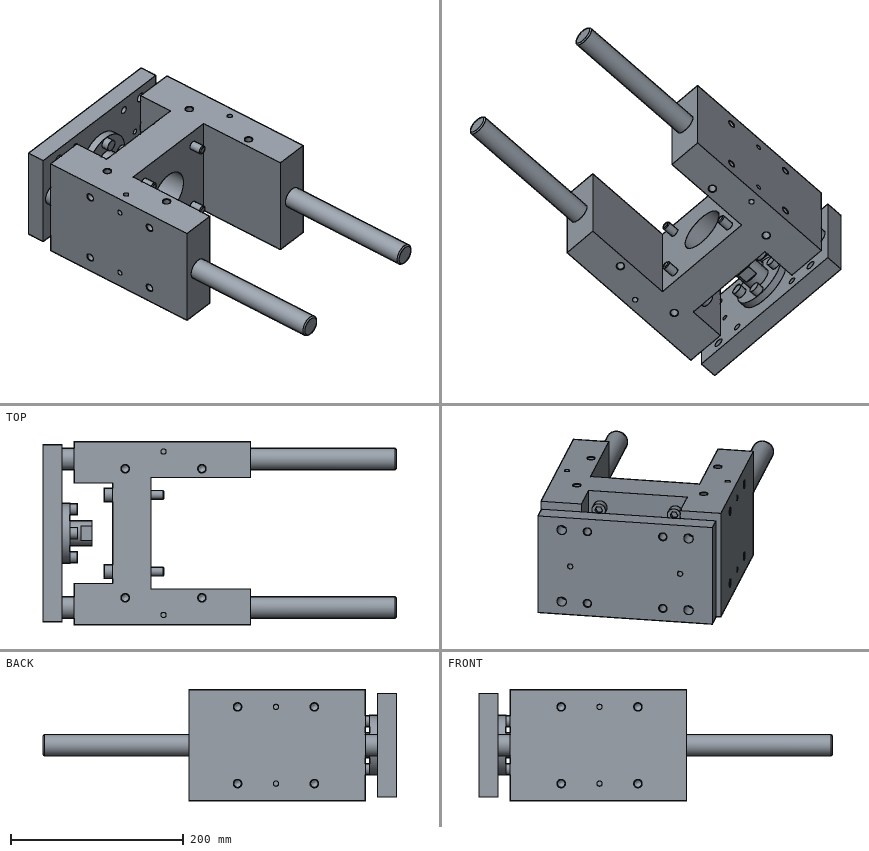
import cadquery as cq
import math

EPS = 0.5

bolt_half = 89.0 / 2
wide_half = 150.0 / 2

plate_thickness = 22.0
plate_width = 206.5
plate_height = 120.5
plate_clear_diameter = 11.0
plate_dowel_half = 65.0

rod_diameter = 25.0
rod_half = 172.5 / 2
rod_end = 411.0
rod_chamfer = 1.5

flange_diameter = 70.0
flange_thickness = 9.0
stub_diameter = 29.0
stub_end = 57.0
flat_start = 44.0
flat_spacing = 24.0
flange_screw_count = 4
flange_screw_radius = 28.0
flange_screw_diameter = 13.0
flange_screw_height = 8.5

housing_start = 36.0
housing_length = 205.0
housing_width = 213.0
housing_height = 129.0
web_start = 81.0
web_thickness = 45.0
front_arm_width = 48.0
rear_arm_width = 42.0
web_bore_diameter = 55.0
hole_centre_x = 140.0
housing_dowel_half = 190.0 / 2

screw_head_diameter = 16.0
screw_head_height = 10.0
screw_shank_diameter = 10.3
screw_length = 60.0
screw_chamfer = 1.2
socket_width = 8.0
socket_depth = 5.0

thread_diameter = 8.5
thread_mouth_diameter = 10.0
thread_depth = 20.0
drill_point_angle = 118.0
dowel_diameter = 6.0
dowel_depth = 10.0

housing_end = housing_start + housing_length
web_end = web_start + web_thickness
mouth_depth = (thread_mouth_diameter - thread_diameter) / 2


def cylinder(diameter, start, direction, length):
    return cq.Workplane(cq.Solid.makeCylinder(diameter / 2, length, cq.Vector(*start), cq.Vector(*direction)))


def x_cylinder(diameter, x_start, x_end, y=0.0, z=0.0):
    return cylinder(diameter, (x_start, y, z), (1, 0, 0), x_end - x_start)


def x_block(x_start, x_end, width, height):
    return cq.Workplane("XY").box(x_end - x_start, width, height).translate(((x_start + x_end) / 2, 0, 0))


def four_corners(half_a, half_b):
    return [(a, b) for a in (-half_a, half_a) for b in (-half_b, half_b)]


def mouth_cone(start, direction):
    """Countersink that opens the mouth of a threaded hole."""
    return cq.Workplane(cq.Solid.makeCone(
        thread_mouth_diameter / 2, thread_diameter / 2, mouth_depth, cq.Vector(*start), cq.Vector(*direction)))


def blind_thread(start, direction):
    """Cutter for a blind threaded hole: countersunk mouth, bore and drill point."""
    point_length = thread_diameter / 2 / math.tan(math.radians(drill_point_angle / 2))
    bottom = cq.Vector(*start) + cq.Vector(*direction) * thread_depth
    point = cq.Solid.makeCone(thread_diameter / 2, 0, point_length, bottom, cq.Vector(*direction))
    bore = cylinder(thread_diameter, start, direction, thread_depth)
    return bore.union(mouth_cone(start, direction)).union(cq.Workplane(point))



def make_plate():
    plate = x_block(0, plate_thickness, plate_width, plate_height)
    for y, z in four_corners(wide_half, bolt_half):
        plate = plate.cut(x_cylinder(plate_clear_diameter, 0, plate_thickness, y, z))
    for y, z in four_corners(bolt_half, bolt_half):
        plate = plate.cut(x_cylinder(thread_diameter, 0, plate_thickness, y, z))
        plate = plate.cut(mouth_cone((0, y, z), (1, 0, 0)))
    for y in (-plate_dowel_half, plate_dowel_half):
        plate = plate.cut(x_cylinder(dowel_diameter, 0, plate_thickness, y))
    return plate


def make_rod(y):
    return x_cylinder(rod_diameter, plate_thickness - EPS, rod_end, y).faces(">X").chamfer(rod_chamfer)


def make_coupling():
    """Round flange with four screw heads and a stub with two wrench flats."""
    flange_end = plate_thickness + flange_thickness
    coupling = x_cylinder(flange_diameter, plate_thickness - EPS, flange_end)
    stub = x_cylinder(stub_diameter, flange_end - EPS, stub_end)
    flats = x_block(flat_start, stub_end, stub_diameter, stub_diameter)
    flats = flats.cut(x_block(flat_start, stub_end, stub_diameter, flat_spacing))
    coupling = coupling.union(stub.cut(flats))
    for i in range(flange_screw_count):
        angle = 2 * math.pi * i / flange_screw_count
        y = flange_screw_radius * math.cos(angle)
        z = flange_screw_radius * math.sin(angle)
        head_end = flange_end + flange_screw_height
        coupling = coupling.union(x_cylinder(flange_screw_diameter, flange_end - EPS, head_end, y, z))
    return coupling


def make_slider():
    slider = make_plate().union(make_coupling())
    for y in (-rod_half, rod_half):
        slider = slider.union(make_rod(y))
    return slider



def make_block():
    block = x_block(housing_start, housing_end, housing_width, housing_height)
    front_gap = housing_width - 2 * front_arm_width
    rear_gap = housing_width - 2 * rear_arm_width
    block = block.cut(x_block(housing_start, web_start, front_gap, housing_height))
    block = block.cut(x_block(web_end, housing_end, rear_gap, housing_height))
    block = block.cut(x_cylinder(web_bore_diameter, web_start, web_end))
    for y in (-rod_half, rod_half):
        block = block.cut(x_cylinder(rod_diameter, housing_start, housing_end, y))
    return block


def cut_mounting_holes(block):
    """Threaded and dowel holes, alike on opposite faces of the block."""
    thread_x = (hole_centre_x - bolt_half, hole_centre_x + bolt_half)
    for side in (-1, 1):
        face_z = side * housing_height / 2
        into_z = (0, 0, -side)
        for y in (-wide_half, wide_half):
            for x in thread_x:
                block = block.cut(blind_thread((x, y, face_z), into_z))
        for y in (-housing_dowel_half, housing_dowel_half):
            block = block.cut(cylinder(dowel_diameter, (hole_centre_x, y, face_z), into_z, dowel_depth))

        face_y = side * housing_width / 2
        into_y = (0, -side, 0)
        for z in (-bolt_half, bolt_half):
            for x in thread_x:
                block = block.cut(blind_thread((x, face_y, z), into_y))
            block = block.cut(cylinder(dowel_diameter, (hole_centre_x, face_y, z), into_y, dowel_depth))
    return block


def make_web_screw(y, z):
    """Socket head screw whose head rests on the front of the web."""
    head_start = web_start - screw_head_height
    shank_end = web_start + screw_length
    head = x_cylinder(screw_head_diameter, head_start, web_start + EPS, y, z)
    shank = x_cylinder(screw_shank_diameter, web_start, shank_end, y, z).faces(">X").chamfer(screw_chamfer)
    socket_diameter = socket_width / math.cos(math.pi / 6)
    socket = cq.Workplane("YZ", origin=(head_start, y, z)).polygon(6, socket_diameter).extrude(socket_depth)
    return head.cut(socket).union(shank)


def make_housing():
    housing = cut_mounting_holes(make_block())
    for y, z in four_corners(bolt_half, bolt_half):
        housing = housing.union(make_web_screw(y, z))
    return housing


slider = make_slider()
housing = make_housing()
result = cq.Compound.makeCompound([slider.solids().val(), housing.solids().val()])